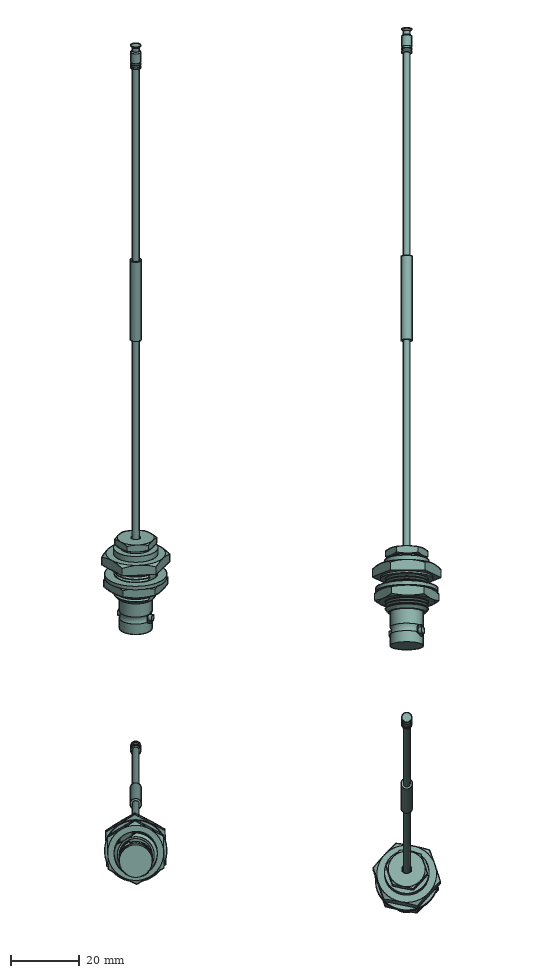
import cadquery as cq
import math

total_length = 187.3

barrel_diameter = 9.7
barrel_groove_depth = 0.28
barrel_groove_bottom = 3.4
barrel_groove_top = 5.6
lug_diameter = 2.0
lug_span = 10.9
lug_height = 4.1
lug_seat_diameter = 3.5
lug_seat_span = 8.6

thread_diameter = 12.7
thread_root_diameter = 11.6
thread_pitch = 0.9
thread_bottom = 10.1
thread_end_chamfer = 1.0
thread_flat_offset = 5.5

flange_corners = 20.2
flange_flats = flange_corners * math.sqrt(3) / 2
flange_seat_diameter = 15.5
flange_seat_bottom = 20.2
flange_bottom = 20.8
flange_top = 24.0
collar_diameter = 13.1
collar_top = 25.9
neck_diameter = 9.0

cap_flats = 10.9
cap_bottom = 26.8
cap_top = 29.0
cable_hole_diameter = 2.8

nut_flats = 16.5
nut_bottom = 13.3
nut_top = 16.3
washer_diameter = 18.4
washer_top = 17.5

cable_diameter = 2.0
sleeve_diameter = 3.4
sleeve_bottom = 92.7
sleeve_top = 118.2

plug_bottom = 180.0
plug_diameter = 3.0
plug_groove_diameter = 2.8
plug_grooves_bottom = 180.5
plug_groove_width = 0.5
plug_groove_pitch = 0.7
plug_groove_count = 2
plug_shoulder = 185.5
plug_shoulder_chamfer = 0.4
plug_neck_diameter = 2.0
plug_head_bottom = 186.5
plug_head_rim = 0.2

flange_bevel_angle = 30.0
shallow_bevel_angle = 20.0


def disc(diameter, bottom, top):
    """Upright cylinder on the Z axis."""
    return cq.Workplane("XY").workplane(offset=bottom).circle(diameter / 2).extrude(top - bottom)


def beveled_hexagon(flats, bottom, top, bevel_angle, bevel_bottom=True):
    """Upright hexagon with corners on the Y axis, beveled down to its inscribed circle."""
    corner_radius = flats / math.sqrt(3)
    bevel_radius = flats / 2
    bevel_height = (corner_radius - bevel_radius) * math.tan(math.radians(bevel_angle))
    hexagon = (
        cq.Workplane("XY")
        .workplane(offset=bottom)
        .transformed(rotate=(0, 0, 90))
        .polygon(6, 2 * corner_radius)
        .extrude(top - bottom)
    )
    outline = cq.Workplane("XZ").moveTo(0, bottom)
    if bevel_bottom:
        outline = outline.lineTo(bevel_radius, bottom).lineTo(corner_radius, bottom + bevel_height)
    else:
        outline = outline.lineTo(corner_radius, bottom)
    envelope = (
        outline.lineTo(corner_radius, top - bevel_height)
        .lineTo(bevel_radius, top)
        .lineTo(0, top)
        .close()
        .revolve(360, (0, 0), (0, 1))
    )
    return hexagon.intersect(envelope)


def make_barrel():
    """Bayonet barrel with a shallow round-bottomed groove and a seated lug on each side."""
    barrel_radius = barrel_diameter / 2
    groove_middle = (barrel_groove_bottom + barrel_groove_top) / 2
    groove = (
        cq.Workplane("XZ")
        .moveTo(barrel_radius, barrel_groove_bottom)
        .threePointArc(
            (barrel_radius - barrel_groove_depth, groove_middle),
            (barrel_radius, barrel_groove_top),
        )
        .close()
        .revolve(360, (0, 0), (0, 1))
    )
    barrel = disc(barrel_diameter, 0, thread_bottom).cut(groove)
    lug_center = cq.Workplane("YZ").center(0, lug_height)
    seat_rim = lug_center.circle(lug_seat_diameter / 2).extrude(barrel_diameter, both=True).cut(
        lug_center.circle(lug_seat_diameter / 2).extrude(lug_seat_span / 2, both=True)
    )
    lugs = lug_center.circle(lug_diameter / 2).extrude(lug_span / 2, both=True)
    return barrel.cut(seat_rim).union(lugs)


def make_thread():
    """Threaded section as ring ridges, chamfered at its lower end and flattened on +X."""
    major_radius = thread_diameter / 2
    root_radius = thread_root_diameter / 2
    length = flange_seat_bottom - thread_bottom
    thread = disc(thread_diameter, thread_bottom, flange_seat_bottom)
    thread = thread.faces("<Z").chamfer(thread_end_chamfer)
    groove_count = math.floor((length - thread_end_chamfer) / thread_pitch)
    for index in range(groove_count):
        groove_top = flange_seat_bottom - index * thread_pitch
        groove = (
            cq.Workplane("XZ")
            .moveTo(major_radius, groove_top)
            .lineTo(root_radius, groove_top - thread_pitch / 2)
            .lineTo(major_radius, groove_top - thread_pitch)
            .close()
            .revolve(360, (0, 0), (0, 1))
        )
        thread = thread.cut(groove)
    flat_stock = cq.Workplane("XY").box(
        thread_diameter, thread_diameter, length, centered=(False, True, False)
    )
    return thread.cut(flat_stock.translate((thread_flat_offset, 0, thread_bottom)))


def make_housing():
    """Connector housing from the bayonet barrel up to the cable cap with its cable hole."""
    flange = beveled_hexagon(
        flange_flats, flange_bottom, flange_top, flange_bevel_angle, bevel_bottom=False
    )
    return (
        make_barrel()
        .union(make_thread())
        .union(disc(flange_seat_diameter, flange_seat_bottom, flange_bottom))
        .union(flange)
        .union(disc(collar_diameter, flange_top, collar_top))
        .union(disc(neck_diameter, collar_top, cap_bottom))
        .union(beveled_hexagon(cap_flats, cap_bottom, cap_top, shallow_bevel_angle))
        .cut(disc(cable_hole_diameter, cap_bottom, cap_top))
    )


def make_nut():
    """Panel nut, bored to the major diameter of the thread."""
    nut = beveled_hexagon(nut_flats, nut_bottom, nut_top, shallow_bevel_angle)
    return nut.cut(disc(thread_diameter, nut_bottom, nut_top))


def make_washer():
    """Flat washer resting on the nut."""
    washer = disc(washer_diameter, nut_top, washer_top)
    return washer.cut(disc(thread_diameter, nut_top, washer_top))


def make_cable():
    """Straight cable from the floor of the cap's hole to the plug."""
    return disc(cable_diameter, cap_bottom, plug_bottom)


def make_sleeve():
    """Sleeve fitted closely around the cable."""
    sleeve = disc(sleeve_diameter, sleeve_bottom, sleeve_top)
    return sleeve.cut(disc(cable_diameter, sleeve_bottom, sleeve_top))


def make_plug():
    """Plug with a grooved base, a narrow neck and a flared head."""
    plug = disc(plug_diameter, plug_bottom, plug_shoulder).faces(">Z").chamfer(plug_shoulder_chamfer)
    for index in range(plug_groove_count):
        bottom = plug_grooves_bottom + index * plug_groove_pitch
        top = bottom + plug_groove_width
        plug = plug.cut(disc(plug_diameter, bottom, top).cut(disc(plug_groove_diameter, bottom, top)))
    neck = disc(plug_neck_diameter, plug_shoulder, plug_head_bottom)
    flare_height = total_length - plug_head_rim - plug_head_bottom
    flare_width = (plug_diameter - plug_neck_diameter) / 2
    head = disc(plug_diameter, plug_head_bottom, total_length)
    head = head.faces("<Z").chamfer(flare_height, flare_width)
    return plug.union(neck).union(head)


housing = make_housing()
nut = make_nut()
washer = make_washer()
cable = make_cable()
sleeve = make_sleeve()
plug = make_plug()

result = cq.Compound.makeCompound(
    [housing.val(), nut.val(), washer.val(), cable.val(), sleeve.val(), plug.val()]
)